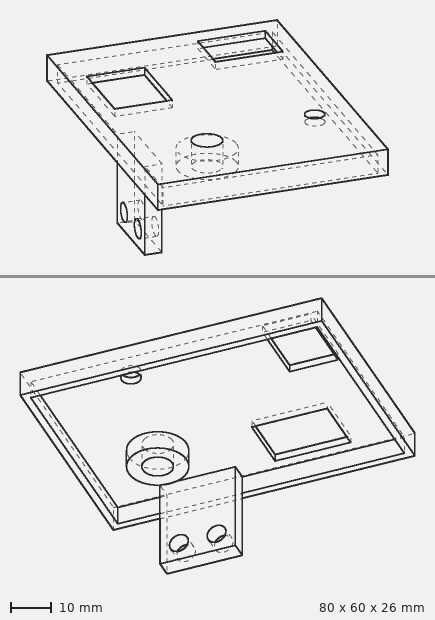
import cadquery as cq

plate_length = 80
plate_width = 60
plate_thickness = 7.0
total_height = 26.0

skin_thickness = 2.0
rim_thickness = 2.0

rear_window = (5.0, 37.5, 12.8, 17.6)
front_window = (15.0, 5.0, 20, 15.0)

small_hole = (54.7, 50.0, 5.0)
large_hole = (60, 20, 7.8)
large_hole_boss_diameter = 15.3

tab_left = 45.0
tab_front = rim_thickness
tab_length = 20
tab_thickness = 4.5
tab_height = total_height - skin_thickness
tab_hole_diameter = 5.0
tab_hole_spacing = 10.0
tab_hole_height = 5.0


def cut_window(body, window):
    left, front, length, width = window
    cutter = cq.Workplane("XY").box(length, width, plate_thickness, centered=False)
    return body.cut(cutter.translate((left, front, -plate_thickness)))


def cut_round_hole(body, hole):
    x, y, diameter = hole
    cutter = cq.Workplane("XY").center(x, y).circle(diameter / 2).extrude(-plate_thickness)
    return body.cut(cutter)


def make_tab():
    tab = cq.Workplane("XY").box(tab_length, tab_thickness, tab_height, centered=False)
    hole_offset = tab_hole_spacing / 2
    holes = (
        cq.Workplane("XZ")
        .pushPoints([(tab_length / 2 + side * hole_offset, tab_hole_height) for side in (-1, 1)])
        .circle(tab_hole_diameter / 2)
        .extrude(-tab_thickness)
    )
    return tab.cut(holes).translate((tab_left, tab_front, -total_height))


def make_hollow_plate():
    plate = cq.Workplane("XY").box(plate_length, plate_width, plate_thickness, centered=False)
    hollow = cq.Workplane("XY").box(
        plate_length - 2 * rim_thickness,
        plate_width - 2 * rim_thickness,
        plate_thickness - skin_thickness,
        centered=False,
    )
    return plate.cut(hollow.translate((rim_thickness, rim_thickness, 0))).translate((0, 0, -plate_thickness))


def make_boss():
    x, y, _ = large_hole
    return cq.Workplane("XY").center(x, y).circle(large_hole_boss_diameter / 2).extrude(-plate_thickness)


plate = make_hollow_plate().union(make_boss())
for window in (rear_window, front_window):
    plate = cut_window(plate, window)
for hole in (small_hole, large_hole):
    plate = cut_round_hole(plate, hole)

result = plate.union(make_tab())